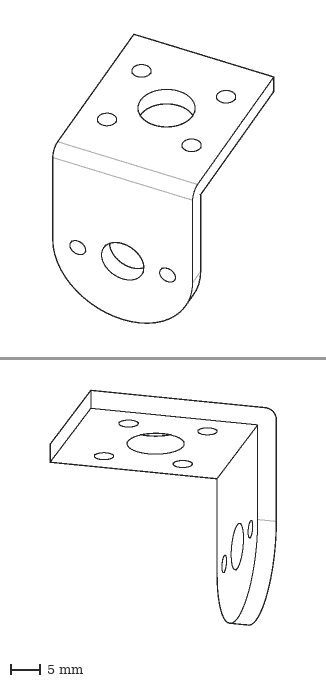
import cadquery as cq

width = 26.5
depth = 33.0
height = 34.0
thickness = 3.33
bend_radius = 2.0

flange_bore_diameter = 9.8
flange_bore_from_back = 15.15
flange_screw_diameter = 3.3
flange_screw_spacing_x = 16.0
flange_screw_spacing_y = 14.0

upright_bore_diameter = 8.0
upright_screw_diameter = 3.0
upright_screw_spacing = 17.0

end_radius = width / 2
end_center_z = end_radius - height
flange_bore_y = depth - flange_bore_from_back


def angle_body():
    """L-shaped plate with a rounded outer bend and a sharp inner corner."""
    horizontal = cq.Workplane("XY").box(width, depth, thickness, centered=(True, False, False))
    horizontal = horizontal.translate((0, 0, -thickness))
    upright = (
        cq.Workplane("XZ")
        .moveTo(-end_radius, 0)
        .lineTo(-end_radius, end_center_z)
        .threePointArc((0, -height), (end_radius, end_center_z))
        .lineTo(end_radius, 0)
        .close()
        .extrude(-thickness)
    )
    return horizontal.union(upright).edges("|X and >Z and <Y").fillet(bend_radius)


def flange_holes():
    """Central bore and four screw holes through the horizontal flange."""
    plane = cq.Workplane("XY").center(0, flange_bore_y)
    bore = plane.circle(flange_bore_diameter / 2).extrude(-thickness)
    screws = (
        plane.rarray(flange_screw_spacing_x, flange_screw_spacing_y, 2, 2)
        .circle(flange_screw_diameter / 2)
        .extrude(-thickness)
    )
    return bore.union(screws)


def upright_holes():
    """Central bore and a pair of screw holes through the vertical flange."""
    plane = cq.Workplane("XZ").center(0, end_center_z)
    bore = plane.circle(upright_bore_diameter / 2).extrude(-thickness)
    screws = (
        plane.pushPoints([(side * upright_screw_spacing / 2, 0) for side in (-1, 1)])
        .circle(upright_screw_diameter / 2)
        .extrude(-thickness)
    )
    return bore.union(screws)


result = angle_body().cut(flange_holes()).cut(upright_holes())